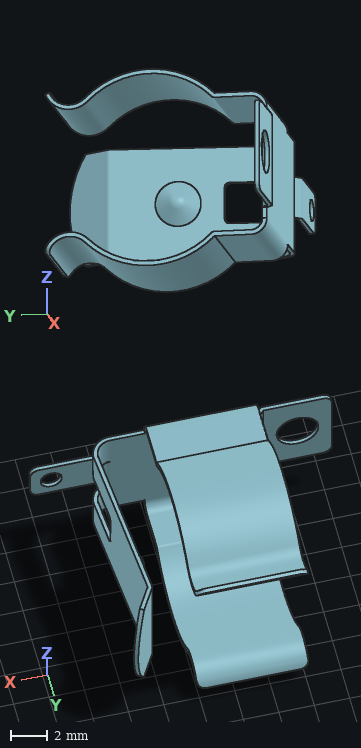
import cadquery as cq
import math


sheet = 0.25
plate_height = 6.3
band_width = 6.3
plate_lip = 0.05
plate_left = -band_width / 2
plate_right = 5.13

overall_length = 17.04
tab_drop = 0.37
tab_bend = 45.0
tab_corner = 0.51
fixing_tab_end = -7.5
fixing_tab_height = 5.11
fixing_hole_diameter = 2.35
fixing_hole_inset = 1.95
solder_tab_end = fixing_tab_end + overall_length
solder_tab_height = 2.3
solder_hole_diameter = 1.2
solder_hole_inset = 1.2

spring_bend_radius = 0.89
spring_lean = 5.0
spring_length = 9.13
tip_slant = 30.0
tip_length = 2.7
tip_crown = 1.15
window_top = 4.02
window_corner = 0.3

dimple_base_y = 6.56
dimple_radius = 1.26
dimple_half_angle = 52.5
dimple_nose_radius = 0.68

arm_bend_radius = 0.63
arm_flat_end = 2.91
arm_bend = 45.0
arm_curve_radius = 5.15
arm_curve_sweep = 89.5
lip_radius = 1.23
lip_sweep = 116.5
lip_corner = 0.51

same_point = 1.7e-07


def polar(point, distance, angle):
    """Point at a distance and direction (degrees) from another point."""
    turn = math.radians(angle)
    return (point[0] + distance * math.cos(turn), point[1] + distance * math.sin(turn))


def bent_strip(plane, start, heading, moves, width):
    """Bend a strip of sheet along its middle line.

    A move is ("flat", length) or ("bend", angle, inner radius), with left turns positive.
    Returns the solid, its end point and its end heading.
    """
    half = sheet / 2
    point = start
    right_start = polar(start, half, heading - 90)
    right_side = []
    left_corners = [polar(point, half, heading + 90)]
    left_middles = []
    for move in moves:
        if move[0] == "flat":
            point = polar(point, move[1], heading)
            right_middle = left_middle = None
        else:
            angle, inner_radius = move[1:]
            radius = inner_radius + half
            to_center = heading + math.copysign(90, angle)
            center = polar(point, radius, to_center)
            from_center = to_center + 180
            outward = math.copysign(half, angle)
            right_middle = polar(center, radius + outward, from_center + angle / 2)
            left_middle = polar(center, radius - outward, from_center + angle / 2)
            point = polar(center, radius, from_center + angle)
            heading += angle
        right_side.append((right_middle, polar(point, half, heading - 90)))
        left_middles.append(left_middle)
        left_corners.append(polar(point, half, heading + 90))
    left_side = list(zip(reversed(left_middles), reversed(left_corners[:-1])))

    outline = cq.Workplane(plane).moveTo(*right_start)
    position = right_start
    for middle, corner in right_side + [(None, left_corners[-1])] + left_side:
        if math.dist(position, corner) < same_point:
            continue
        if middle is None:
            outline = outline.lineTo(*corner)
        else:
            outline = outline.threePointArc(middle, corner)
        position = corner
    return outline.close().extrude(width / 2, both=True), point, heading


def stepped_tab(root_x, end_x, height, hole_diameter, hole_inset):
    """Tab that steps out past the plate's outer face, with rounded outer corners and one hole."""
    side = math.copysign(1, end_x - root_x)
    bend = math.radians(tab_bend)
    slope_length = (tab_drop - sheet * (1 - math.cos(bend))) / math.sin(bend)
    step_run = slope_length * math.cos(bend) + sheet * math.sin(bend)
    moves = [
        ("bend", -side * tab_bend, 0),
        ("flat", slope_length),
        ("bend", side * tab_bend, 0),
        ("flat", abs(end_x - root_x) - step_run),
    ]
    heading = 0 if side > 0 else 180
    tab = bent_strip("XY", (root_x, sheet / 2), heading, moves, height)[0]
    tab = tab.faces(">X" if side > 0 else "<X").edges("|Y").fillet(tab_corner)
    hole = (
        cq.Workplane("XZ", origin=(end_x - side * hole_inset, 0, 0))
        .circle(hole_diameter / 2)
        .extrude(2 * tab_drop, both=True)
    )
    return tab.cut(hole)


def spring_window():
    """Opening left in the foot of the spring by the solder tab."""
    reach = 2 * (spring_bend_radius + sheet)
    return (
        cq.Workplane("XY")
        .box(reach, window_top, solder_tab_height, centered=(False, False, True))
        .edges(">Y and |X")
        .fillet(window_corner)
        .translate((plate_right, 0, 0))
    )


def spring_dimple():
    """Blunt cone standing on the inner face of the spring."""
    lean = math.radians(spring_lean)
    foot = polar((plate_right, spring_bend_radius + sheet), spring_bend_radius, spring_lean)
    climb = (dimple_base_y - foot[1]) / math.cos(lean)
    base = polar(foot, climb, 90 + spring_lean)
    flank = math.radians(dimple_half_angle)
    nose_edge = dimple_nose_radius * math.cos(flank)
    cone_height = (dimple_radius - nose_edge) / math.tan(flank)
    nose_center = cone_height - dimple_nose_radius * math.sin(flank)
    middle = (flank + math.pi / 2) / 2
    nose_middle = (
        dimple_nose_radius * math.cos(middle),
        nose_center + dimple_nose_radius * math.sin(middle),
    )
    axis = (-math.cos(lean), -math.sin(lean), 0)
    normal = cq.Vector(0, 0, 1).cross(cq.Vector(*axis))
    plane = cq.Plane(origin=(*base, 0), xDir=(0, 0, 1), normal=normal)
    return (
        cq.Workplane(plane)
        .moveTo(0, -sheet / 2)
        .lineTo(dimple_radius, -sheet / 2)
        .lineTo(dimple_radius, 0)
        .lineTo(nose_edge, cone_height)
        .threePointArc(nose_middle, (0, nose_center + dimple_nose_radius))
        .close()
        .revolve(360, (0, 0), (0, 1))
    )


def spring_contact():
    """Leaning spring with a flared, crowned tip, a foot window and a dimple."""
    moves = [
        ("bend", 90 + spring_lean, spring_bend_radius),
        ("flat", spring_length),
        ("bend", -spring_lean - tip_slant, 0),
    ]
    spring, tip_root, heading = bent_strip("XY", (plate_right, sheet / 2), 0, moves, plate_height)
    half = plate_height / 2
    direction = (*polar((0, 0), 1, heading), 0)
    across = (*polar((0, 0), 1, heading - 90), 0)
    tip = (
        cq.Workplane(cq.Plane(origin=(*tip_root, 0), xDir=direction, normal=across))
        .moveTo(0, -half)
        .lineTo(tip_length - tip_crown, -half)
        .threePointArc((tip_length, 0), (tip_length - tip_crown, half))
        .lineTo(0, half)
        .close()
        .extrude(sheet / 2, both=True)
    )
    return spring.cut(spring_window()).union(tip).union(spring_dimple())


def holding_arm():
    """Arm on the +Z side: foot bend, flat, round grip and outward lip."""
    moves = [
        ("bend", 90, arm_bend_radius),
        ("flat", arm_flat_end - arm_bend_radius - sheet),
        ("bend", -arm_bend, 0),
        ("bend", arm_curve_sweep, arm_curve_radius - sheet),
        ("bend", -lip_sweep, lip_radius),
    ]
    plane = cq.Plane(origin=(0, 0, 0), xDir=(0, 0, 1), normal=(-1, 0, 0))
    arm, end, _ = bent_strip(plane, (plate_height / 2, sheet / 2), 0, moves, band_width)
    for x in (-band_width / 2, band_width / 2):
        corner = cq.selectors.NearestToPointSelector((x, end[1], end[0]))
        arm = arm.edges(corner).fillet(lip_corner)
    return arm


plate = (
    cq.Workplane("XY", origin=(plate_left - plate_lip, 0, 0))
    .box(plate_right - plate_left + plate_lip, sheet, plate_height, centered=(False, False, True))
)
arm = holding_arm()
fixing_tab = stepped_tab(
    plate_left, fixing_tab_end, fixing_tab_height, fixing_hole_diameter, fixing_hole_inset
)
solder_tab = stepped_tab(
    plate_right, solder_tab_end, solder_tab_height, solder_hole_diameter, solder_hole_inset
)

result = plate.union(spring_contact()).union(fixing_tab).union(solder_tab)
result = result.union(arm).union(arm.mirror("XY"))